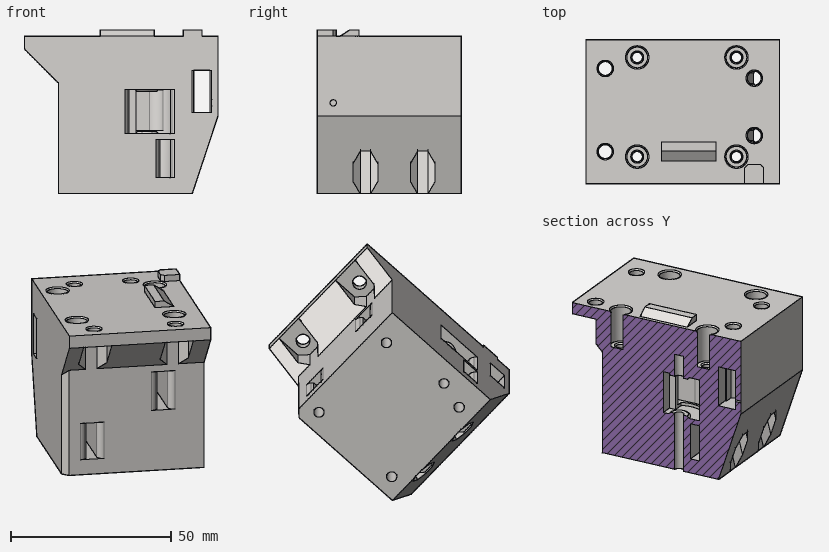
import cadquery as cq
import math

length = 60.5
width = 45.0
height = 51.1
stop_height = 2.0
plate_top = height - stop_height
plate_thickness = 4.0
plate_bottom = plate_top - plate_thickness
overhang = 10.65
base_right = 52.45
slope_top = 24.2
corner_chamfer = 2.0

ridge_x = 23.65
ridge_length = 16.95
ridge_front = 7.1
ridge_crest = 10.15
ridge_back = 13.05
key_x = 49.55
key_width = 6.0
key_chamfer = 1.0

rim_chamfer = 0.4
motor_x = 31.5
motor_y = 23.95
motor_pitch = 31.0
motor_bolt_diameter = 3.2
motor_head_diameter = 6.5
motor_head_depth = 12.1
mount_diameter = 4.3
left_mount_x = 6.05
left_mount_y = (10.05, 36.0)
right_mount_x = 52.6
right_seat = 14.2
right_mount_y = (15.05, 33.0)
left_pocket_flats = 8.95
right_pocket_flats = 7.75
right_pocket_tilt = 15.0

idler_x = 38.25
idler_radius = 8.0
upper_idler_y = 6.0
upper_floor = 18.7
upper_roof = 32.5
lower_idler_y = 29.45
lower_floor = 4.95
lower_roof = 16.8
boss_base_diameter = 7.3
boss_top_diameter = 6.0
boss_height = (boss_base_diameter - boss_top_diameter) / 2
axle_diameter = 3.1
axle_top = 39.3

right_wall = 45.55
window_left = 32.75
lower_left_wall = 42.4
web_edge = 34.9
web_front = 9.7
channel_width = 3.45
upper_channel_outer = 14.75
upper_channel_bottom = 19.7
upper_channel_top = 32.3
lower_channel_outer = 37.3
channel_end = 43.8
channel_end_radius = 4.7
mouth_radius = 2.0
mouth_round_reach = mouth_radius * math.sqrt(0.5)
mouth_round_rest = mouth_radius - mouth_round_reach
front_bevel = 0.7
side_bevel = 0.6

slot_center_x = 55.4
slot_bottom = 25.35
slot_top = 38.5
slot_width = 6.05
slot_inner_width = 5.0
slot_step = 10.3
clamp_diameter = 2.0
clamp_y = 5.0
clamp_z = 28.3


def box(x0, x1, y0, y1, z0, z1):
    return cq.Workplane("XY").box(x1 - x0, y1 - y0, z1 - z0, centered=False).translate((x0, y0, z0))


def rod(x, y, diameter, z0, z1):
    return cq.Workplane("XY", origin=(x, y, z0)).circle(diameter / 2).extrude(z1 - z0)


def cone(x, y, z, start_diameter, end_diameter, cone_height, direction=1):
    """Truncated cone from z, going up for direction 1 and down for direction -1."""
    solid = cq.Solid.makeCone(
        start_diameter / 2,
        end_diameter / 2,
        cone_height,
        cq.Vector(x, y, z),
        cq.Vector(0, 0, direction),
    )
    return cq.Workplane(obj=solid)


def countersink(x, y, diameter, z):
    """45 degree chamfer on the rim of a hole whose mouth is at z."""
    return cone(x, y, z, diameter + 2 * rim_chamfer, diameter, rim_chamfer, -1)


def body():
    outline = [
        (overhang, 0),
        (base_right, 0),
        (length, slope_top),
        (length, plate_top),
        (0, plate_top),
        (0, plate_bottom),
        (overhang, plate_bottom - overhang),
    ]
    block = cq.Workplane("XZ").polyline(outline).close().extrude(-width)
    corner = (
        cq.Workplane("XY")
        .polyline([
            (overhang, width - corner_chamfer),
            (overhang + corner_chamfer, width),
            (0, width),
            (0, width - corner_chamfer),
        ])
        .close()
        .extrude(plate_bottom)
    )
    slope = (
        cq.Workplane("XZ")
        .polyline([
            (0, plate_bottom),
            (overhang + corner_chamfer, plate_bottom),
            (overhang + corner_chamfer, plate_bottom - overhang - corner_chamfer),
        ])
        .close()
        .extrude(-width)
    )
    return block.cut(corner.cut(slope))


def ridge():
    profile = [
        (ridge_front, plate_top),
        (ridge_back, plate_top),
        (ridge_back, height),
        (ridge_crest, height),
    ]
    return cq.Workplane("YZ", origin=(ridge_x, 0, 0)).polyline(profile).close().extrude(ridge_length)


def key():
    block = box(key_x, key_x + key_width, 0, key_width, plate_top, height)
    return block.edges("|Z and >Y").chamfer(key_chamfer)


def motor_bolts():
    head_floor = plate_top - motor_head_depth
    cutter = cq.Workplane("XY")
    for side_x in (-0.5, 0.5):
        for side_y in (-0.5, 0.5):
            x = motor_x + side_x * motor_pitch
            y = motor_y + side_y * motor_pitch
            cutter = cutter.add(rod(x, y, motor_bolt_diameter, 0, plate_top))
            cutter = cutter.add(countersink(x, y, motor_bolt_diameter, head_floor))
            cutter = cutter.add(rod(x, y, motor_head_diameter, head_floor, plate_top))
            cutter = cutter.add(countersink(x, y, motor_head_diameter, plate_top))
    return cutter.combine()


def mount_hole(x, y, bottom):
    hole = rod(x, y, mount_diameter, bottom, plate_top)
    return hole.union(countersink(x, y, mount_diameter, plate_top))


def octagon_prism(flats, prism_length):
    """Octagonal prism hanging down from the origin, with flats facing X and Y."""
    octagon_sides = 8
    corner_diameter = flats / math.cos(math.pi / octagon_sides)
    prism = cq.Workplane("XY").polygon(octagon_sides, corner_diameter).extrude(-prism_length)
    return prism.rotate((0, 0, 0), (0, 0, 1), 180 / octagon_sides)


def left_mounts():
    cutter = cq.Workplane("XY")
    for y in left_mount_y:
        half = left_pocket_flats / 2
        x = overhang - half
        pocket = octagon_prism(left_pocket_flats, plate_bottom)
        mouth = box(0, x, y - half, y + half, 0, plate_bottom)
        cutter = cutter.add(mount_hole(left_mount_x, y, plate_bottom))
        cutter = cutter.add(pocket.translate((x, y, plate_bottom)))
        cutter = cutter.add(mouth)
    return cutter.combine()


def right_mounts():
    overlength = 2 * right_seat
    below_seat = box(0, 2 * length, 0, width, -length, right_seat)
    cutter = cq.Workplane("XY")
    for y in right_mount_y:
        pocket = octagon_prism(right_pocket_flats, 2 * overlength).translate((0, 0, overlength))
        pocket = pocket.rotate((0, 0, 0), (0, 1, 0), -right_pocket_tilt)
        pocket = pocket.translate((right_mount_x, y, right_seat))
        cutter = cutter.add(mount_hole(right_mount_x, y, right_seat))
        cutter = cutter.add(pocket.intersect(below_seat))
    return cutter.combine()


def front_mouth(left, right, depth, z0, z1):
    """Opening in the front wall whose two sides lead in with a bevel and a round."""
    round_start = front_bevel + mouth_round_reach
    mid_angle = math.radians(67.5)
    mid_x = mouth_radius * (1 - math.sin(mid_angle))
    mid_y = round_start - mouth_radius * math.cos(mid_angle)
    edge = mouth_round_rest + front_bevel
    return (
        cq.Workplane("XY", origin=(0, 0, z0))
        .moveTo(left - edge, 0)
        .lineTo(left - mouth_round_rest, front_bevel)
        .threePointArc((left - mid_x, mid_y), (left, round_start))
        .lineTo(left, depth)
        .lineTo(right, depth)
        .lineTo(right, round_start)
        .threePointArc((right + mid_x, mid_y), (right + mouth_round_rest, front_bevel))
        .lineTo(right + edge, 0)
        .close()
        .extrude(z1 - z0)
    )


def side_channel(outer, end, z0, z1):
    """Channel along X from the -X wall, with a rounded inner edge and a bevelled outer one."""
    inner = outer - channel_width
    bevel_start = overhang + mouth_round_rest
    mid_angle = math.radians(22.5)
    mid_x = overhang + mouth_radius * (1 - math.cos(mid_angle))
    edge = outer + side_bevel + mouth_round_reach
    return (
        cq.Workplane("XY", origin=(0, 0, z0))
        .moveTo(overhang, inner - mouth_radius)
        .threePointArc(
            (bevel_start, inner - mouth_round_rest),
            (overhang + mouth_radius, inner),
        )
        .lineTo(end, inner)
        .lineTo(end, outer)
        .lineTo(bevel_start + side_bevel, outer)
        .lineTo(bevel_start, outer + side_bevel)
        .threePointArc((mid_x, edge - mouth_radius * math.sin(mid_angle)), (overhang, edge))
        .close()
        .extrude(z1 - z0)
    )


def channel_end_pocket():
    """Rounded end of the upper side channel, reaching around the idler clearance."""
    straight = channel_end - channel_end_radius
    reach = channel_end_radius * math.sqrt(0.5)
    center_y = upper_channel_outer - channel_end_radius
    return (
        cq.Workplane("XY", origin=(0, 0, upper_channel_bottom))
        .moveTo(straight, center_y)
        .lineTo(channel_end, center_y)
        .threePointArc((straight + reach, center_y + reach), (straight, upper_channel_outer))
        .close()
        .extrude(upper_channel_top - upper_channel_bottom)
    )


def idler_boss(z, direction):
    return cone(idler_x, upper_idler_y, z, boss_base_diameter, boss_top_diameter, boss_height, direction)


def upper_idler():
    clearance = rod(idler_x, upper_idler_y, 2 * idler_radius, upper_floor, upper_roof)
    clearance = clearance.intersect(box(web_edge, right_wall, 0, width, 0, height))
    straight_end = channel_end - channel_end_radius
    cavity = (
        front_mouth(window_left, right_wall, upper_idler_y, upper_floor, upper_roof)
        .union(box(window_left, web_edge, upper_idler_y, web_front, upper_floor, upper_roof))
        .union(clearance)
        .union(side_channel(upper_channel_outer, straight_end, upper_channel_bottom, upper_channel_top))
        .union(channel_end_pocket())
        .cut(idler_boss(upper_floor, 1))
        .cut(idler_boss(upper_roof, -1))
    )
    return cavity.union(rod(idler_x, upper_idler_y, axle_diameter, 0, axle_top))


def lower_idler():
    clearance = rod(idler_x, lower_idler_y, 2 * idler_radius, lower_floor, lower_roof)
    return (
        front_mouth(lower_left_wall, right_wall, lower_idler_y, lower_floor, lower_roof)
        .union(clearance)
        .union(side_channel(lower_channel_outer, idler_x, lower_floor, lower_roof))
    )


def clamp_slot():
    half = slot_width / 2
    inner_half = slot_inner_width / 2
    slot = box(slot_center_x - half, slot_center_x + half, 0, slot_step, slot_bottom, slot_top)
    narrow = box(slot_center_x - inner_half, slot_center_x + inner_half, 0, width, slot_bottom, slot_top)
    screw = (
        cq.Workplane("YZ", origin=(slot_center_x, clamp_y, 0))
        .center(0, clamp_z)
        .circle(clamp_diameter / 2)
        .extrude(length - slot_center_x)
    )
    return slot.union(narrow).union(screw)


result = body().union(ridge()).union(key())
for cutter in (motor_bolts(), left_mounts(), right_mounts(), upper_idler(), lower_idler(), clamp_slot()):
    result = result.cut(cutter)